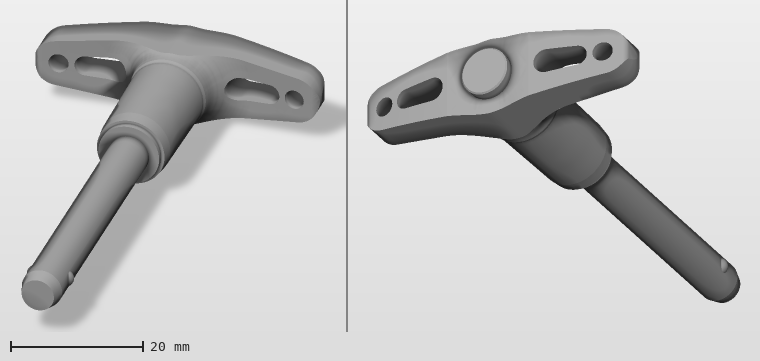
import cadquery as cq
import math

overall_length = 77.7

hub_radius = 6.335
handle_end_radius = 3.8
handle_half_span = 22.58

crest_x = 7.0
crest_y = -1.25
dip_half_width = 1.55
dip_y = -1.95
dip_blend_x = 4.7
dip_blend_y = -1.5
crown_mid_x = 13.6
crown_mid_y = -2.1
end_top_x = 22.2
end_top_y = -3.9
end_bottom_x = 22.8
end_bottom_y = -8.7
end_corner_radius = 1.25

slot_inner_x = 9.7
slot_inner_radius = 1.95
slot_outer_x = 14.6
slot_outer_radius = 1.6
lanyard_hole_x = 18.69
lanyard_hole_radius = 1.55

flare_radius = 5.1
flare_seam_radius = 12.05
shoulder_radius = 6.1
shoulder_top_y = -12.7
shoulder_bottom_y = -13.3
grip_top_radius = 5.8
grip_end_radius = 5.6
grip_end_y = -29.0
rim_radius = 5.4
rim_y = -31.2
collar_radius = 4.8
collar_y = -32.1

button_radius = 3.9
button_length = 7.6
button_edge_chamfer = 0.2
pin_radius = 3.2
tip_radius = 2.6
tip_length = 2.1
ball_radius = 1.3
ball_projection = 0.505
ball_from_tip = 6.4


def hull_of_circles(inner_x, inner_radius, outer_x, outer_radius, depth):
    """Tapered round-ended bar: two circles on the X axis joined by tangents, extruded along -Y."""
    tilt = math.asin((inner_radius - outer_radius) / (outer_x - inner_x))

    def tangent_point(center_x, radius, side):
        return center_x + radius * math.sin(tilt), side * radius * math.cos(tilt)

    return (
        cq.Workplane("XZ")
        .moveTo(*tangent_point(inner_x, inner_radius, 1))
        .lineTo(*tangent_point(outer_x, outer_radius, 1))
        .threePointArc((outer_x + outer_radius, 0), tangent_point(outer_x, outer_radius, -1))
        .lineTo(*tangent_point(inner_x, inner_radius, -1))
        .threePointArc((inner_x - inner_radius, 0), tangent_point(inner_x, inner_radius, 1))
        .close()
        .extrude(depth)
    )


def both_wings(wing):
    return wing.union(wing.mirror("YZ"))


def revolve_about_pin_axis(profile):
    return profile.close().revolve(360, (0, 0, 0), (0, 1, 0))


def make_underside():
    """Round body below the handle: a shallow cone blended into the grip by a concave arc."""
    center_x = shoulder_radius + flare_radius
    reach = flare_radius * math.sqrt(0.5)
    seam_y = shoulder_top_y + math.sqrt(flare_radius**2 - (flare_seam_radius - center_x) ** 2)
    slope = (end_bottom_y - seam_y) / (end_bottom_x - flare_seam_radius)
    cone_radius = 2 * end_bottom_x
    return revolve_about_pin_axis(
        cq.Workplane("XY")
        .lineTo(cone_radius, 0)
        .lineTo(cone_radius, seam_y + slope * (cone_radius - flare_seam_radius))
        .lineTo(flare_seam_radius, seam_y)
        .threePointArc((center_x - reach, shoulder_top_y + reach), (shoulder_radius, shoulder_top_y))
        .lineTo(0, shoulder_top_y)
    )


def make_wing():
    """Right half of the handle before its outline is trimmed, with the tip corners rounded."""
    end_lean = (end_bottom_x - end_top_x) / (end_top_y - end_bottom_y)
    blank = (
        cq.Workplane("XY")
        .moveTo(0, dip_y)
        .lineTo(dip_half_width, dip_y)
        .spline(
            [(dip_blend_x, dip_blend_y), (crest_x, crest_y)],
            tangents=[(1, 0), (1, 0)],
            includeCurrent=True,
        )
        .threePointArc((crown_mid_x, crown_mid_y), (end_top_x, end_top_y))
        .lineTo(end_top_x + end_lean * (end_top_y - shoulder_top_y), shoulder_top_y)
        .lineTo(0, shoulder_top_y)
        .close()
        .extrude(hub_radius, both=True)
    )
    margin = 0.3
    end_corners = cq.selectors.BoxSelector(
        (end_top_x - margin, end_bottom_y - margin, -handle_end_radius),
        (end_bottom_x + margin, end_top_y + margin, handle_end_radius),
    )
    return blank.intersect(make_underside()).edges(end_corners).fillet(end_corner_radius)


def make_handle():
    outline = both_wings(hull_of_circles(
        0, hub_radius, handle_half_span - handle_end_radius, handle_end_radius, overall_length
    ))
    slot = hull_of_circles(slot_inner_x, slot_inner_radius, slot_outer_x, slot_outer_radius, overall_length)
    lanyard_hole = (
        cq.Workplane("XZ").center(lanyard_hole_x, 0).circle(lanyard_hole_radius).extrude(overall_length)
    )
    handle = both_wings(make_wing()).intersect(outline)
    return handle.cut(both_wings(slot)).cut(both_wings(lanyard_hole))


def make_grip():
    return revolve_about_pin_axis(
        cq.Workplane("XY")
        .moveTo(0, shoulder_top_y)
        .lineTo(shoulder_radius, shoulder_top_y)
        .lineTo(grip_top_radius, shoulder_bottom_y)
        .lineTo(grip_end_radius, grip_end_y)
        .lineTo(rim_radius, rim_y)
        .lineTo(collar_radius, rim_y)
        .lineTo(collar_radius, collar_y)
        .lineTo(0, collar_y)
    )


def make_button():
    button = cq.Workplane("XZ").circle(button_radius).extrude(button_length)
    return button.faces(">Y").chamfer(button_edge_chamfer)


def make_pin():
    pin = revolve_about_pin_axis(
        cq.Workplane("XY")
        .moveTo(0, collar_y)
        .lineTo(pin_radius, collar_y)
        .lineTo(pin_radius, tip_length - overall_length)
        .lineTo(tip_radius, -overall_length)
        .lineTo(0, -overall_length)
    )
    ball_x = pin_radius + ball_projection - ball_radius
    for side in (-1, 1):
        ball = cq.Workplane("XY").sphere(ball_radius)
        pin = pin.union(ball.translate((side * ball_x, ball_from_tip - overall_length, 0)))
    return pin


result = make_handle().union(make_grip()).union(make_button()).union(make_pin())